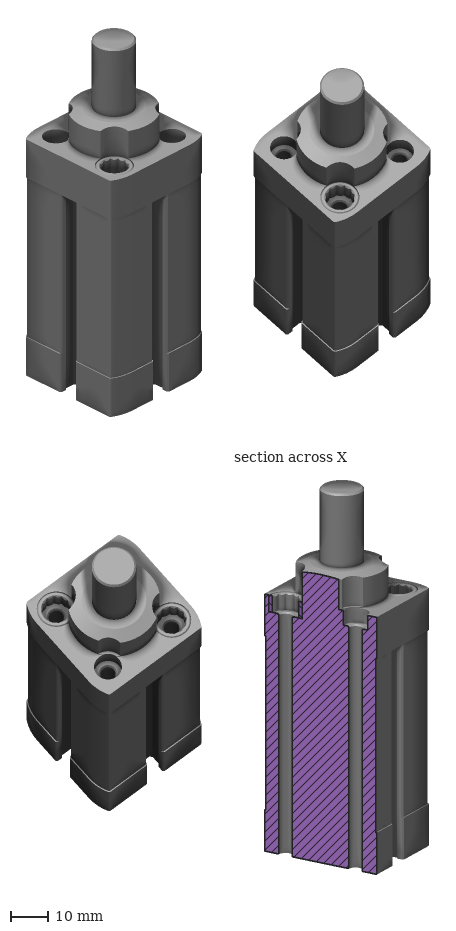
import cadquery as cq
import math

TOTAL_HEIGHT = 104.0
CAP_HEIGHT = 12.0
HEAD_TOP = 73.5
COLLAR_TOP = 83.0

BLOCK_WIDTH = 35.5
BARREL_INSET = 0.3
SIDE_FLAT = 22.3
CORNER_RADIUS = 13.0
CORNER_EDGE_RADIUS = 0.8

COLLAR_DIAMETER = 25.0
COLLAR_FLAT_DIAMETER = 17.4
COLLAR_CONE_HEIGHT = 0.9
ROD_DIAMETER = 12.0
ROD_CHAMFER = 0.5

HOLE_SPACING = 22.0
HOLE_DIAMETER = 4.2
HOLE_MOUTH_DIAMETER = 5.0
COUNTERBORE_DIAMETER = 7.5
COUNTERBORE_DEPTH = 4.2
RELIEF_DIAMETER = 9.0
RELIEF_LEDGE = 0.3

SLEEVE_DIAMETER = 10.5
SLEEVE_BORE = COUNTERBORE_DIAMETER
SLEEVE_LENGTH = 4.8
SLEEVE_OUTER_CHAMFER = 0.4
SLEEVE_MOUTH_DIAMETER = 8.3
HEXAGON_TURN = 30
SOCKET_ACROSS_FLATS = 7.1

SLOT_NECK_WIDTH = 5.3
SLOT_CHAMFER = 0.4
SLOT_NECK_DEPTH = 1.7
SLOT_DEPTH = 5.6
SLOT_UNDERCUT = 0.6

HEAD_BOTTOM = HEAD_TOP - CAP_HEIGHT
HOLE_OFFSET = HOLE_SPACING / 2
COUNTERBORE_POINTS = [(-HOLE_OFFSET, -HOLE_OFFSET), (HOLE_OFFSET, HOLE_OFFSET)]
SLEEVE_POINTS = [(-HOLE_OFFSET, HOLE_OFFSET), (HOLE_OFFSET, -HOLE_OFFSET)]


def cylinder(diameter, bottom, top, points=((0, 0),)):
    """Upright cylinders from height bottom to height top, one at each point."""
    return (
        cq.Workplane("XY", origin=(0, 0, bottom))
        .pushPoints(points)
        .circle(diameter / 2)
        .extrude(top - bottom)
    )


def block(inset, bottom, top):
    """Square block whose corners are arcs that run tangent into the X faces, inset all round."""
    half = BLOCK_WIDTH / 2 - inset
    flat = SIDE_FLAT / 2
    radius = CORNER_RADIUS - inset

    def arc_x(y):
        return half - radius + math.sqrt(radius**2 - (y - flat) ** 2)

    end = arc_x(half)
    middle_y = (flat + half) / 2
    middle = arc_x(middle_y)
    return (
        cq.Workplane("XY", origin=(0, 0, bottom))
        .moveTo(half, -flat)
        .lineTo(half, flat)
        .threePointArc((middle, middle_y), (end, half))
        .lineTo(-end, half)
        .threePointArc((-middle, middle_y), (-half, flat))
        .lineTo(-half, -flat)
        .threePointArc((-middle, -middle_y), (-end, -half))
        .lineTo(end, -half)
        .threePointArc((middle, -middle_y), (half, -flat))
        .close()
        .extrude(top - bottom)
        .edges("|Z and (<Y or >Y)")
        .fillet(CORNER_EDGE_RADIUS - inset)
    )


def slot_cutter(face, bottom, top):
    """T-shaped slot that opens in a +X face, with a chamfered mouth and chamfered floor corners."""
    barrel_face = BLOCK_WIDTH / 2 - BARREL_INSET
    neck_end = barrel_face - SLOT_NECK_DEPTH
    floor = barrel_face - SLOT_DEPTH
    neck = SLOT_NECK_WIDTH / 2
    mouth = neck + SLOT_CHAMFER
    undercut = neck + SLOT_UNDERCUT
    upper_half = [
        (face, mouth),
        (face - SLOT_CHAMFER, neck),
        (neck_end, neck),
        (neck_end, undercut),
        (floor + SLOT_UNDERCUT, undercut),
        (floor, neck),
    ]
    lower_half = [(x, -y) for x, y in reversed(upper_half)]
    return (
        cq.Workplane("XY", origin=(0, 0, bottom))
        .polyline(upper_half + lower_half)
        .close()
        .extrude(top - bottom)
    )


def collar():
    """Round collar with a shallow cone on top, scalloped above the four corner holes."""
    body = (
        cq.Workplane("XZ")
        .polyline(
            [
                (0, HEAD_TOP),
                (COLLAR_DIAMETER / 2, HEAD_TOP),
                (COLLAR_DIAMETER / 2, COLLAR_TOP - COLLAR_CONE_HEIGHT),
                (COLLAR_FLAT_DIAMETER / 2, COLLAR_TOP),
                (0, COLLAR_TOP),
            ]
        )
        .close()
        .revolve(360, (0, 0), (0, 1))
    )
    relief_floor = HEAD_TOP + RELIEF_LEDGE
    body = body.cut(cylinder(RELIEF_DIAMETER, relief_floor, COLLAR_TOP, COUNTERBORE_POINTS))
    return body.cut(cylinder(SLEEVE_DIAMETER, HEAD_TOP, COLLAR_TOP, SLEEVE_POINTS))


def countersink(point, top, top_diameter, bottom_diameter):
    """Cone at 45 degrees that narrows downwards from height top."""
    depth = (top_diameter - bottom_diameter) / 2
    return (
        cq.Workplane("XY", origin=(*point, top))
        .circle(top_diameter / 2)
        .workplane(offset=-depth)
        .circle(bottom_diameter / 2)
        .loft()
    )


def corner_hole(point, counterbore_diameter, floor, top):
    """Through hole with a countersunk mouth at the floor of its counterbore."""
    return (
        cylinder(HOLE_DIAMETER, 0, floor, [point])
        .union(countersink(point, floor, HOLE_MOUTH_DIAMETER, HOLE_DIAMETER))
        .union(cylinder(counterbore_diameter, floor, top, [point]))
    )


def make_housing():
    rod = cylinder(ROD_DIAMETER, HEAD_TOP, TOTAL_HEIGHT).faces(">Z").chamfer(ROD_CHAMFER)
    body = (
        block(0, 0, CAP_HEIGHT)
        .union(block(BARREL_INSET, CAP_HEIGHT, HEAD_BOTTOM))
        .union(block(0, HEAD_BOTTOM, HEAD_TOP))
        .union(collar())
        .union(rod)
    )
    for side in range(4):
        for inset, bottom, top in [(0, 0, CAP_HEIGHT), (BARREL_INSET, CAP_HEIGHT, HEAD_BOTTOM)]:
            slot = slot_cutter(BLOCK_WIDTH / 2 - inset, bottom, top)
            body = body.cut(slot.rotate((0, 0, 0), (0, 0, 1), 90 * side))
    for point in COUNTERBORE_POINTS:
        floor = HEAD_TOP - COUNTERBORE_DEPTH
        body = body.cut(corner_hole(point, COUNTERBORE_DIAMETER, floor, HEAD_TOP + RELIEF_LEDGE))
    for point in SLEEVE_POINTS:
        body = body.cut(corner_hole(point, SLEEVE_DIAMETER, HEAD_TOP - SLEEVE_LENGTH, HEAD_TOP))
    return body


def make_sleeve(point):
    """Sleeve flush with the head, with a twelve-point socket made of two hexagons in its bore."""
    bottom = HEAD_TOP - SLEEVE_LENGTH
    sleeve = cylinder(SLEEVE_DIAMETER, bottom, HEAD_TOP, [point])
    sleeve = sleeve.faces(">Z").chamfer(SLEEVE_OUTER_CHAMFER)
    sleeve = sleeve.cut(cylinder(SLEEVE_BORE, bottom, HEAD_TOP, [point]))
    for turn in (0, HEXAGON_TURN):
        hexagon = (
            cq.Workplane("XY", origin=(*point, bottom))
            .transformed(rotate=(0, 0, turn))
            .polygon(6, SOCKET_ACROSS_FLATS, circumscribed=True)
            .extrude(SLEEVE_LENGTH)
        )
        sleeve = sleeve.cut(hexagon)
    return sleeve.cut(countersink(point, HEAD_TOP, SLEEVE_MOUTH_DIAMETER, SLEEVE_BORE))


housing = make_housing()
sleeves = [make_sleeve(point) for point in SLEEVE_POINTS]

result = cq.Compound.makeCompound([housing.val(), *[sleeve.val() for sleeve in sleeves]])